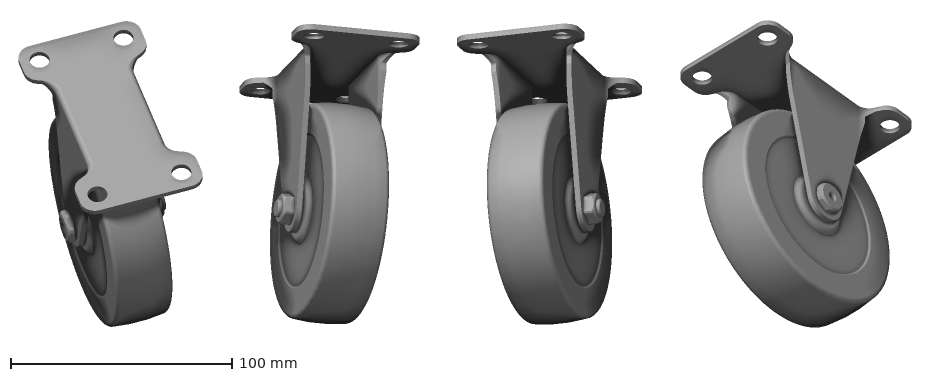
import cadquery as cq
import math


plate_length = 100.0
plate_width = 58.0
sheet = 2.6
plate_top = 72.0
lug_radius = 7.0
lug_arc_x = 36.5
mount_hole_diameter = 9.0
mount_hole_x = 41.0
mount_hole_y = 20.0

leg_outer_y = 18.5
leg_inner_y = leg_outer_y - sheet
neck_outer_radius = 9.0
neck_inner_radius = 7.8
shoulder_x = 25.0
shoulder_top = plate_top - 6.5
shoulder_bottom = plate_top - 10.2
shoulder_fillet = 1.6
leg_end_radius = 10.0

wheel_radius = 50.0
wheel_half_width = 13.5
tread_edge_radius = 48.8
tread_fillet = 2.0
recess_radius = 35.3
recess_floor_radius = 34.3
recess_depth = 0.7
hub_half_length = 15.0
hub_base_radius = 15.4
hub_fillet = 3.0

axle_radius = 4.0
axle_end_y = 25.4
axle_end_chamfer = 0.5
nut_end_y = 23.7
nut_flats = 12.9
nut_corner_radius = 7.2
nut_chamfer = 1.1
head_end_y = -22.5
head_flats = 13.9
head_corner_radius = 7.6
head_chamfer_radial = 1.2
head_chamfer_axial = 1.0
centre_radius = 2.5
centre_depth = 2.5

half_length = plate_length / 2
half_width = plate_width / 2
lug_arc_y = half_width - lug_radius
neck_outer_y = leg_outer_y + neck_outer_radius
neck_inner_y = leg_inner_y + neck_inner_radius
neck_span = neck_outer_radius + lug_radius
neck_x = lug_arc_x - math.sqrt(neck_span**2 - (neck_outer_y - lug_arc_y) ** 2)
centre_offset = neck_outer_y - neck_inner_y
radius_term = (neck_outer_radius**2 - neck_inner_radius**2) / centre_offset
tip_y = (neck_outer_y + neck_inner_y - radius_term) / 2
tip_dx = math.sqrt(neck_inner_radius**2 - (neck_inner_y - tip_y) ** 2)
tip_angle = math.asin(tip_dx / neck_outer_radius)


def point_on_arc(centre_x, centre_y, radius, angle):
    """Point on a circle, with the angle in radians from +X."""
    return (centre_x + radius * math.cos(angle), centre_y + radius * math.sin(angle))


def both_sides(shape):
    """A shape together with its mirror image across the XZ plane."""
    return shape.union(shape.mirror("XZ"))


def all_quadrants(shape):
    """A shape repeated by mirroring across the YZ and XZ planes."""
    return both_sides(shape.union(shape.mirror("YZ")))


def make_plate():
    lug_angle = math.atan2(neck_outer_y - lug_arc_y, neck_x - lug_arc_x)
    joint = point_on_arc(lug_arc_x, lug_arc_y, lug_radius, lug_angle)
    lug_mid = point_on_arc(lug_arc_x, lug_arc_y, lug_radius, (lug_angle + math.pi / 2) / 2)
    neck_mid_angle = (lug_angle - math.pi - math.pi / 2) / 2
    neck_mid = point_on_arc(neck_x, neck_outer_y, neck_outer_radius, neck_mid_angle)
    outer_corner_x = half_length - lug_radius
    outer_corner_mid = point_on_arc(outer_corner_x, lug_arc_y, lug_radius, math.pi / 4)
    quarter = (
        cq.Workplane("XY", origin=(0, 0, plate_top - sheet))
        .lineTo(half_length, 0)
        .lineTo(half_length, lug_arc_y)
        .threePointArc(outer_corner_mid, (outer_corner_x, half_width))
        .lineTo(lug_arc_x, half_width)
        .threePointArc(lug_mid, joint)
        .threePointArc(neck_mid, (neck_x, leg_outer_y))
        .lineTo(0, leg_outer_y)
        .close()
        .extrude(sheet)
    )
    mount_hole = (
        cq.Workplane("XY", origin=(mount_hole_x, mount_hole_y, plate_top - sheet))
        .circle(mount_hole_diameter / 2)
        .extrude(sheet)
    )
    return all_quadrants(quarter.cut(mount_hole)).clean()


def make_leg():
    """Wall that follows the neck in plan, trimmed to the tapered leg outline."""
    outer_mid = point_on_arc(neck_x, neck_outer_y, neck_outer_radius, -math.pi / 2 + tip_angle / 2)
    inner_tip_angle = math.atan2(tip_y - neck_inner_y, tip_dx)
    inner_mid = point_on_arc(neck_x, neck_inner_y, neck_inner_radius, (inner_tip_angle - math.pi / 2) / 2)
    half_wall = (
        cq.Workplane("XY", origin=(0, 0, -leg_end_radius))
        .moveTo(0, leg_inner_y)
        .lineTo(neck_x, leg_inner_y)
        .threePointArc(inner_mid, (neck_x + tip_dx, tip_y))
        .threePointArc(outer_mid, (neck_x, leg_outer_y))
        .lineTo(0, leg_outer_y)
        .close()
        .extrude(plate_top + leg_end_radius)
    )
    wall = half_wall.union(half_wall.mirror("YZ"))

    shoulder_distance = math.hypot(shoulder_x, shoulder_bottom)
    taper = math.atan2(shoulder_x, shoulder_bottom) - math.asin(leg_end_radius / shoulder_distance)
    tangent_x, tangent_z = point_on_arc(0, 0, leg_end_radius, -taper)
    slope_top_x = shoulder_x + plate_top - shoulder_top
    outline = (
        cq.Workplane("XZ")
        .moveTo(-slope_top_x, plate_top)
        .lineTo(slope_top_x, plate_top)
        .lineTo(shoulder_x, shoulder_top)
        .lineTo(shoulder_x, shoulder_bottom)
        .lineTo(tangent_x, tangent_z)
        .threePointArc((0, -leg_end_radius), (-tangent_x, tangent_z))
        .lineTo(-shoulder_x, shoulder_bottom)
        .lineTo(-shoulder_x, shoulder_top)
        .close()
        .extrude(-half_width)
    )
    across_edges = outline.edges("|Y")
    shoulder_edges = across_edges.filter(lambda edge: math.isclose(abs(edge.Center().x), shoulder_x))
    outline = shoulder_edges.fillet(shoulder_fillet)
    return wall.intersect(outline)


def bend_section(edge_x, edge_y, inward, radius):
    """Closed wire of the waste outside a bend of the given radius at one point of the plate edge."""
    margin = 0.6
    plane = cq.Plane(
        origin=(edge_x, edge_y, plate_top),
        xDir=(inward[0], inward[1], 0),
        normal=(inward[1], -inward[0], 0),
    )
    arc_mid = point_on_arc(radius, -radius, radius, 3 * math.pi / 4)
    return (
        cq.Workplane(plane)
        .moveTo(radius, 0)
        .threePointArc(arc_mid, (0, -radius))
        .lineTo(-margin, -radius)
        .lineTo(-margin, margin)
        .lineTo(radius, margin)
        .close()
        .val()
    )


def neck_bend_section(angle):
    """Bend waste at an angle around the neck, as wide as the gap between the two neck arcs."""
    inward = (math.sin(angle), -math.cos(angle))
    reach = math.sqrt(neck_inner_radius**2 - (centre_offset * math.sin(angle)) ** 2)
    radius = centre_offset * math.cos(angle) + reach - neck_outer_radius
    edge_x = neck_x + neck_outer_radius * inward[0]
    edge_y = neck_outer_y + neck_outer_radius * inward[1]
    return bend_section(edge_x, edge_y, inward, radius)


def make_bend_waste():
    """Straight bend along each leg, fading to nothing around the four necks."""
    straight_ends = [bend_section(x, leg_outer_y, (0, -1), sheet) for x in (-neck_x, neck_x)]
    straight = cq.Workplane(cq.Solid.makeLoft(straight_ends, True))
    neck_stations = (0, 0.25, 0.5, 0.75, 0.95)
    neck_sections = [neck_bend_section(tip_angle * station) for station in neck_stations]
    neck = cq.Workplane(cq.Solid.makeLoft(neck_sections))
    return both_sides(straight), neck


def make_bracket():
    bracket = make_plate().union(both_sides(make_leg()))
    straight, neck = make_bend_waste()
    bracket = bracket.cut(straight)
    for side in (neck, neck.mirror("YZ")):
        bracket = bracket.cut(side).cut(side.mirror("XZ"))
    axle_hole = cq.Workplane("XZ").circle(axle_radius).extrude(half_width, both=True)
    return bracket.cut(axle_hole)


def revolve_about_axle(profile):
    """Turn a closed (radius, Y) profile around the axle."""
    return profile.close().revolve(360, (0, 0, 0), (0, 1, 0))


def make_wheel():
    tread = (
        cq.Workplane("XY")
        .moveTo(axle_radius, -wheel_half_width)
        .lineTo(tread_edge_radius, -wheel_half_width)
        .threePointArc((wheel_radius, 0), (tread_edge_radius, wheel_half_width))
        .lineTo(axle_radius, wheel_half_width)
    )
    outer_rims = cq.selectors.RadiusNthSelector(-1)
    wheel = revolve_about_axle(tread).faces("<Y or >Y").edges(outer_rims).fillet(tread_fillet)

    floor_y = wheel_half_width - recess_depth
    hub_top_radius = hub_base_radius - (hub_half_length - floor_y)
    recess = revolve_about_axle(
        cq.Workplane("XY")
        .moveTo(axle_radius, floor_y)
        .lineTo(recess_floor_radius, floor_y)
        .lineTo(recess_radius, wheel_half_width)
        .lineTo(axle_radius, wheel_half_width)
    )
    hub_end = revolve_about_axle(
        cq.Workplane("XY")
        .moveTo(axle_radius, floor_y)
        .lineTo(hub_base_radius, floor_y)
        .lineTo(hub_top_radius, hub_half_length)
        .lineTo(axle_radius, hub_half_length)
    )
    hub_end = hub_end.faces(">Y").edges(outer_rims).fillet(hub_fillet)
    return wheel.cut(both_sides(recess)).union(both_sides(hub_end))


def hexagon(flats, start_y, end_y):
    """Hexagonal prism along the axle with two corners on the Z axis."""
    corner_diameter = flats / math.cos(math.pi / 6)
    return (
        cq.Workplane("XZ", origin=(0, start_y, 0))
        .transformed(rotate=(0, 0, 90))
        .polygon(6, corner_diameter)
        .extrude(start_y - end_y)
    )


def make_axle():
    shank = revolve_about_axle(
        cq.Workplane("XY")
        .moveTo(0, -leg_outer_y)
        .lineTo(axle_radius, -leg_outer_y)
        .lineTo(axle_radius, axle_end_y - axle_end_chamfer)
        .lineTo(axle_radius - axle_end_chamfer, axle_end_y)
        .lineTo(0, axle_end_y)
    )
    nut_envelope = revolve_about_axle(
        cq.Workplane("XY")
        .moveTo(0, leg_outer_y)
        .lineTo(nut_corner_radius, leg_outer_y)
        .lineTo(nut_corner_radius, nut_end_y - nut_chamfer)
        .lineTo(nut_corner_radius - nut_chamfer, nut_end_y)
        .lineTo(0, nut_end_y)
    )
    head_rim = head_corner_radius - head_chamfer_radial
    head_envelope = revolve_about_axle(
        cq.Workplane("XY")
        .moveTo(0, head_end_y)
        .lineTo(head_rim, head_end_y)
        .lineTo(head_corner_radius, head_end_y + head_chamfer_axial)
        .lineTo(head_corner_radius, -leg_outer_y - head_chamfer_axial)
        .lineTo(head_rim, -leg_outer_y)
        .lineTo(0, -leg_outer_y)
    )
    centre_cone = revolve_about_axle(
        cq.Workplane("XY")
        .moveTo(0, head_end_y)
        .lineTo(centre_radius, head_end_y)
        .lineTo(0, head_end_y + centre_depth)
    )
    nut = hexagon(nut_flats, leg_outer_y, nut_end_y).intersect(nut_envelope)
    head = hexagon(head_flats, head_end_y, -leg_outer_y).intersect(head_envelope)
    return shank.union(nut).union(head).cut(centre_cone)


bracket = make_bracket()
wheel = make_wheel()
axle = make_axle()

result = cq.Compound.makeCompound([body.solids().val() for body in (bracket, wheel, axle)])